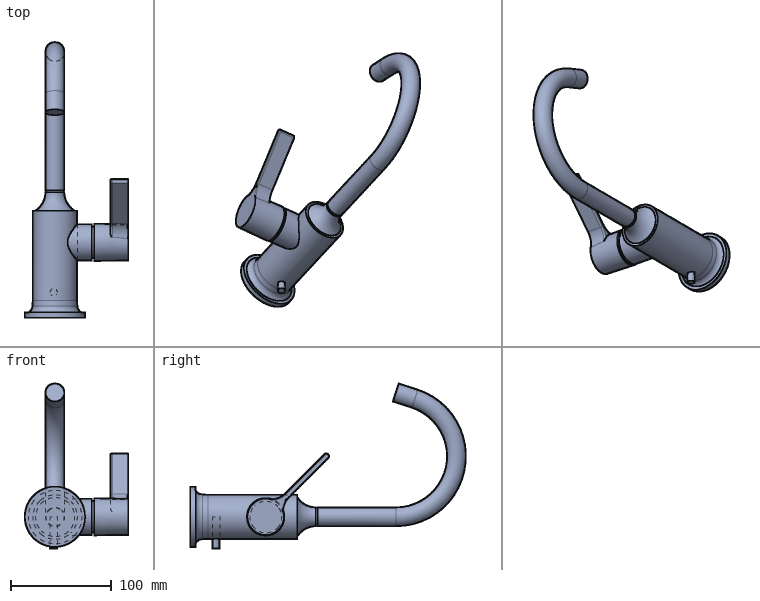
import cadquery as cq
import math


OVERALL_LENGTH = 273.7

FLANGE_RADIUS = 60.0 / 2
FLANGE_THICKNESS = 5.5
COVE_BOTTOM_RADIUS = 26.5
COVE_TOP_RADIUS = 22.5
COVE_TOP_Y = 12.0
COVE_BULGE = 0.8
BODY_RADIUS = 44.0 / 2
BODY_START_Y = 17.8
BODY_END_Y = 106.5
NECK_END_Y = 124.8
NECK_COVE_RADIUS = 22.0

TUBE_RADIUS = 19.0 / 2
SPIGOT_RADIUS = 9.0
SPIGOT_LENGTH = 1.6
BEND_START_Y = 204.2
BEND_RADIUS = OVERALL_LENGTH - TUBE_RADIUS - BEND_START_Y
BEND_ANGLE = 162.0
OUTLET_LENGTH = 19.7

VALVE_Y = 75.0
STUB_RADIUS = 18.0
STUB_END_X = 36.7
COLLAR_RADIUS = 31.5 / 2
HUB_START_X = 39.0
HUB_END_X = 72.8
HUB_INNER_RADIUS = 18.5
HUB_OUTER_RADIUS = 18.0

ARM_WIDTH = 17.8
ARM_THICKNESS = 5.5
ARM_REACH = 87.5
ARM_TILT = 45.0
ARM_ROOT_FILLET = 17.8
ARM_TIP_FILLET = 2.2
ARM_INNER_SIDE_FILLET = 1.6
ARM_OUTER_SIDE_FILLET = 0.8

ROD_RADIUS = 3.5
ROD_X = -1.5
ROD_Y = 25.7
ROD_END_Z = -31.5


def x_cylinder(radius, start_x, end_x):
    """Cylinder on the valve axis."""
    plane = cq.Workplane("YZ", origin=(start_x, VALVE_Y, 0))
    return plane.circle(radius).extrude(end_x - start_x)


def make_rod():
    """Vertical rod whose top rests on the housing axis."""
    plane = cq.Workplane("XY", origin=(ROD_X, ROD_Y, ROD_END_Z))
    return plane.circle(ROD_RADIUS).extrude(-ROD_END_Z)


def make_housing():
    """Turned body with foot flange, coved neck and a bore for the drain rod."""
    cove_mid_radius = (COVE_BOTTOM_RADIUS + COVE_TOP_RADIUS) / 2 - COVE_BULGE
    cove_mid_y = (FLANGE_THICKNESS + COVE_TOP_Y) / 2 - COVE_BULGE

    neck_sweep = math.asin((NECK_END_Y - BODY_END_Y) / NECK_COVE_RADIUS)
    neck_centre_radius = TUBE_RADIUS + NECK_COVE_RADIUS

    def neck_point(angle):
        radius = neck_centre_radius - NECK_COVE_RADIUS * math.cos(angle)
        return radius, NECK_END_Y - NECK_COVE_RADIUS * math.sin(angle)

    body = (
        cq.Workplane("XY")
        .lineTo(FLANGE_RADIUS, 0)
        .lineTo(FLANGE_RADIUS, FLANGE_THICKNESS)
        .lineTo(COVE_BOTTOM_RADIUS, FLANGE_THICKNESS)
        .threePointArc((cove_mid_radius, cove_mid_y), (COVE_TOP_RADIUS, COVE_TOP_Y))
        .lineTo(BODY_RADIUS, BODY_START_Y)
        .lineTo(BODY_RADIUS, BODY_END_Y)
        .lineTo(*neck_point(neck_sweep))
        .threePointArc(neck_point(neck_sweep / 2), neck_point(0))
        .lineTo(0, NECK_END_Y)
        .close()
        .revolve(360, (0, 0, 0), (0, 1, 0))
    )
    return body.cut(make_rod())


def make_valve(housing):
    """Side stub that saddles onto the housing, with a narrower collar reaching the handle."""
    stub = x_cylinder(STUB_RADIUS, 0, STUB_END_X)
    collar = x_cylinder(COLLAR_RADIUS, STUB_END_X, HUB_START_X)
    return stub.cut(housing).union(collar)


def make_spout():
    """Hooked tube with a narrower spigot standing on the housing neck."""
    shoulder_y = NECK_END_Y + SPIGOT_LENGTH

    def bend_point(angle_degrees):
        angle = math.radians(angle_degrees)
        y = BEND_START_Y + BEND_RADIUS * math.sin(angle)
        return y, BEND_RADIUS * (1 - math.cos(angle))

    bend_end_y, bend_end_z = bend_point(BEND_ANGLE)
    outlet_y = bend_end_y + OUTLET_LENGTH * math.cos(math.radians(BEND_ANGLE))
    outlet_z = bend_end_z + OUTLET_LENGTH * math.sin(math.radians(BEND_ANGLE))
    path = (
        cq.Workplane("YZ")
        .moveTo(shoulder_y, 0)
        .lineTo(BEND_START_Y, 0)
        .threePointArc(bend_point(BEND_ANGLE / 2), (bend_end_y, bend_end_z))
        .lineTo(outlet_y, outlet_z)
    )
    tube = cq.Workplane("XZ", origin=(0, shoulder_y, 0)).circle(TUBE_RADIUS).sweep(path)
    spigot = (
        cq.Workplane("XZ", origin=(0, NECK_END_Y, 0))
        .circle(SPIGOT_RADIUS)
        .extrude(-SPIGOT_LENGTH)
    )
    return tube.union(spigot)


def make_arm():
    """Flat radial arm whose root flares tangentially into the hub on both faces."""
    half = ARM_THICKNESS / 2
    centre_height = half + ARM_ROOT_FILLET
    centre_reach = math.sqrt((HUB_OUTER_RADIUS + ARM_ROOT_FILLET) ** 2 - centre_height**2)
    flare_sweep = math.atan2(centre_reach, centre_height)

    def flare_point(angle, side):
        reach = centre_reach - ARM_ROOT_FILLET * math.sin(angle)
        return reach, side * (centre_height - ARM_ROOT_FILLET * math.cos(angle))

    arm = (
        cq.Workplane("YZ", origin=(HUB_END_X - ARM_WIDTH, VALVE_Y, 0))
        .lineTo(*flare_point(flare_sweep, 1))
        .threePointArc(flare_point(flare_sweep / 2, 1), flare_point(0, 1))
        .lineTo(ARM_REACH, half)
        .lineTo(ARM_REACH, -half)
        .lineTo(*flare_point(0, -1))
        .threePointArc(flare_point(flare_sweep / 2, -1), flare_point(flare_sweep, -1))
        .close()
        .extrude(ARM_WIDTH)
        .faces(">Y")
        .edges("|X")
        .fillet(ARM_TIP_FILLET)
        .faces("<X")
        .edges()
        .fillet(ARM_INNER_SIDE_FILLET)
        .faces(">X")
        .edges()
        .fillet(ARM_OUTER_SIDE_FILLET)
    )
    return arm.rotate((0, VALVE_Y, 0), (1, VALVE_Y, 0), ARM_TILT)


def make_handle():
    """Slightly tapered hub with the lever arm."""
    hub = (
        cq.Workplane("XY", origin=(0, VALVE_Y, 0))
        .moveTo(HUB_START_X, 0)
        .lineTo(HUB_START_X, HUB_INNER_RADIUS)
        .lineTo(HUB_END_X, HUB_OUTER_RADIUS)
        .lineTo(HUB_END_X, 0)
        .close()
        .revolve(360, (0, 0, 0), (1, 0, 0))
    )
    return hub.union(make_arm())


housing = make_housing()
spout = make_spout()
valve = make_valve(housing)
handle = make_handle()
rod = make_rod()

bodies = [housing, spout, valve, handle, rod]
result = cq.Compound.makeCompound([body.solids().val() for body in bodies])